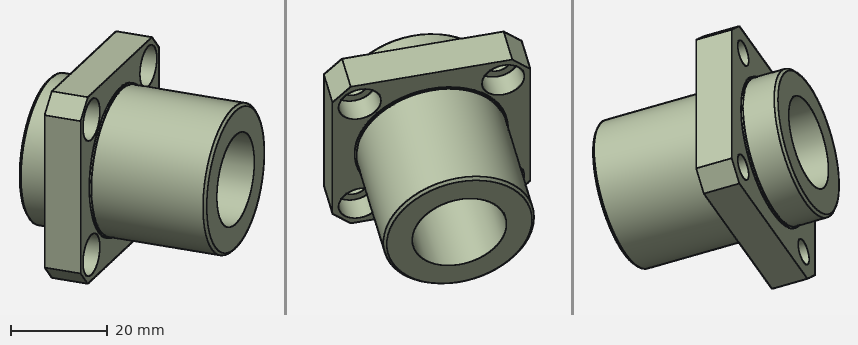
import cadquery as cq

length = 42.0
flange_side = 42.0
flange_start = 8.0
flange_thickness = 8.05
corner_chamfer = 3.85
body_diameter = 32.0
bore_diameter = 20.0
end_chamfer = 0.6
relief_reach = 0.3
hole_diameter = 5.5
hole_spacing = 30.4
counterbore_diameter = 9.0
counterbore_depth = 5.15

flange_end = flange_start + flange_thickness


def cylinder(diameter, start, end):
    """Solid cylinder on the X axis between two X positions."""
    return cq.Workplane("YZ", origin=(start, 0, 0)).circle(diameter / 2).extrude(end - start)


body = cylinder(body_diameter, 0, length).edges().chamfer(end_chamfer)

flange = (
    cq.Workplane("YZ", origin=(flange_start, 0, 0))
    .rect(flange_side, flange_side)
    .extrude(flange_thickness)
    .edges("|X")
    .chamfer(corner_chamfer)
)


def relief_groove(face_x):
    """Ring straddling the corner where the body meets a flange face."""
    start = face_x - relief_reach
    end = face_x + relief_reach
    outer = cylinder(body_diameter + 2 * relief_reach, start, end)
    return outer.cut(cylinder(body_diameter - 2 * relief_reach, start, end))


def mounting_holes(diameter, start, end):
    """Four parallel cylinders on the square mounting pattern."""
    return (
        cq.Workplane("YZ", origin=(start, 0, 0))
        .rect(hole_spacing, hole_spacing, forConstruction=True)
        .vertices()
        .circle(diameter / 2)
        .extrude(end - start)
    )


part = body.union(flange)
for face_x in (flange_start, flange_end):
    part = part.cut(relief_groove(face_x))

part = part.cut(cylinder(bore_diameter, 0, length))

part = part.cut(mounting_holes(hole_diameter, flange_start, flange_end))
result = part.cut(mounting_holes(counterbore_diameter, flange_end - counterbore_depth, flange_end))